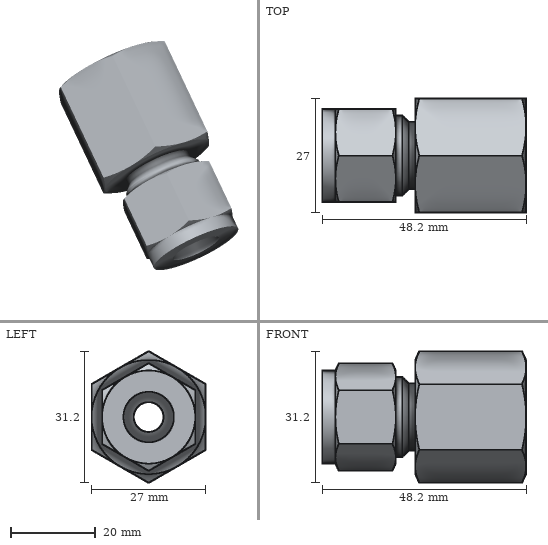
import cadquery as cq
import math

length = 48.2
nut_start = 3.15
nut_end = 17.4
shoulder_end = 18.9
taper_end = 20.45
body_start = 22.0

nut_flats = 22.05
body_flats = 27.0
collar_diameter = nut_flats
shoulder_radius = 9.5
neck_radius = 8.0
corner_chamfer_angle = 25.0

socket_diameter = 11.95
socket_depth = nut_end
passage_diameter = 7.0


def cylinder(diameter, start, end):
    """Round bar along X between two stations."""
    return cq.Workplane("YZ", origin=(start, 0, 0)).circle(diameter / 2).extrude(end - start)


def chamfered_hexagon(flats, start, end):
    """Hexagonal bar with corners up and down, its corners cut by a cone at each end."""
    flat_radius = flats / 2
    corner_radius = flat_radius / math.cos(math.radians(30))
    chamfer = (corner_radius - flat_radius) * math.tan(math.radians(corner_chamfer_angle))
    prism = (
        cq.Workplane("YZ", origin=(start, 0, 0))
        .polygon(6, 2 * corner_radius)
        .extrude(end - start)
        .rotate((0, 0, 0), (1, 0, 0), 90)
    )
    envelope = (
        cq.Workplane("XY")
        .polyline([
            (start, 0),
            (start, flat_radius),
            (start + chamfer, corner_radius),
            (end - chamfer, corner_radius),
            (end, flat_radius),
            (end, 0),
        ])
        .close()
        .revolve(360, (0, 0, 0), (1, 0, 0))
    )
    return prism.intersect(envelope)


def tapered_neck():
    """Shoulder behind the nut, tapering down to the neck in front of the body."""
    return (
        cq.Workplane("XY")
        .polyline([
            (nut_end, 0),
            (nut_end, shoulder_radius),
            (shoulder_end, shoulder_radius),
            (taper_end, neck_radius),
            (body_start, neck_radius),
            (body_start, 0),
        ])
        .close()
        .revolve(360, (0, 0, 0), (1, 0, 0))
    )


collar = cylinder(collar_diameter, 0, nut_start)
nut = chamfered_hexagon(nut_flats, nut_start, nut_end)
body = chamfered_hexagon(body_flats, body_start, length)
solid_fitting = collar.union(nut).union(tapered_neck()).union(body)

tube_socket = cylinder(socket_diameter, 0, socket_depth)
passage = cylinder(passage_diameter, 0, length)

result = solid_fitting.cut(tube_socket).cut(passage)